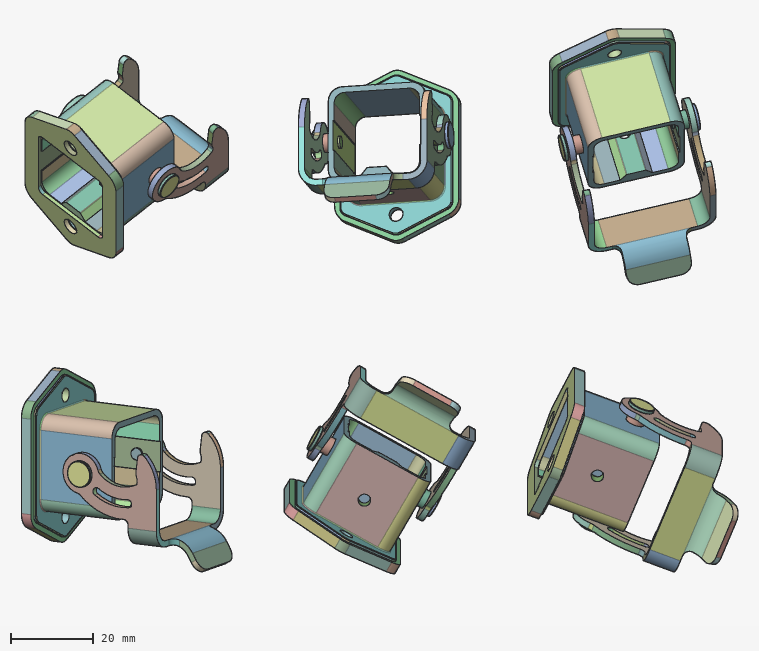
import cadquery as cq
import math


flange_half_width = 15.44
flange_half_height = 21.4
flange_thickness = 2.67
flange_side_radius = 4.3
flange_apex_radius = 3.3
flange_slope = math.radians(25)

pad_half_width = 14.0
pad_half_height = 20.07
pad_back = 3.3
pad_side_radius = 2.2
pad_apex_radius = 2.7
pad_bevel_depth = 0.3
pad_bevel_inset = 0.15

hole_height = 15.03
hole_radius = 1.7
counterbore_radius = 2.1
counterbore_depth = 1.3

tube_width = 24.14
tube_back = 23.47
tube_corner_radius = 3.5
tube_foot_radius = 0.25
bore_width = 21.2
bore_corner_radius = 2.6
mouth_width = 21.8
mouth_corner_radius = 1.5
mouth_depth = 1.0
groove_height = 7.5

key_base_width = 8.1
key_top_width = 4.8
key_height = 1.95
key_edge_radius = 0.2
key_hole_radius = 1.5
key_hole_y = 12.1

pivot_y = 17.05
pin_radius = 2.3
pin_end_radius = 1.5
pin_inner_x = 10.4
head_radius = 3.25
head_outer_x = 17.0
head_chamfer = 0.15

lever_half_width = 16.0
lever_thickness = 1.55
lever_back = 38.27
lever_front = 30.27
lever_bottom = -16.65
bend_radius = 4.6
eye_radius = 5.0
eye_blend_radius = 2.0
eye_overlap = 0.5

arm_center_y = 28.57
arm_center_z = 6.75
arm_upper_radius = 8.8
arm_lower_radius = 16.8
slot_path_radius = 12.87
slot_width = 2.0
slot_back_y = 30.27
slot_front_y = 21.47
arm_corner_radius = 1.2

hook_back_radius = 11.0
hook_back_z = -1.76
tip_radius = 1.1
tip_top_z = 6.53
catch_y = 32.5
catch_z = 1.65
throat_y = 32.85
throat_radius = 0.8
catch_drop = 1.4

tab_half_width = 8.1
tab_outer_radius = 6.43
tab_angle = math.radians(59)
tab_straight = 4.88
tab_corner_radius = 3.0
tab_root_radius = 1.9


def block(width, corner_radius, y_start, y_end):
    """Square bar along Y with rounded long edges."""
    return (
        cq.Workplane("XZ", origin=(0, y_start, 0))
        .rect(width, width)
        .extrude(y_start - y_end)
        .edges("|Y")
        .fillet(corner_radius)
    )


def rod(radius, x_start, x_end):
    """Round bar on the pivot axis."""
    return (
        cq.Workplane("YZ", origin=(x_start, pivot_y, 0))
        .circle(radius)
        .extrude(x_end - x_start)
    )


def hexagon(half_width, half_height, side_radius, apex_radius, y_start, y_end):
    """Upright six-sided plate; half_height is measured to the rounded apex."""
    apex_z = half_height + apex_radius * (1 / math.cos(flange_slope) - 1)
    side_z = apex_z - half_width * math.tan(flange_slope)
    outline = [
        (0, apex_z),
        (half_width, side_z),
        (half_width, -side_z),
        (0, -apex_z),
        (-half_width, -side_z),
        (-half_width, side_z),
    ]
    plate = cq.Workplane("XZ", origin=(0, y_start, 0)).polyline(outline).close().extrude(y_start - y_end)
    plate = plate.edges("|Y and (>Z or <Z)").fillet(apex_radius)
    return plate.edges(cq.selectors.BoxSelector(
        (-half_width - 1, y_start - 1, -side_z - 0.1), (half_width + 1, y_end + 1, side_z + 0.1)
    )).edges("|Y").fillet(side_radius)


def make_housing():
    flange = hexagon(
        flange_half_width, flange_half_height, flange_side_radius, flange_apex_radius, 0, flange_thickness
    )
    pad = hexagon(
        pad_half_width, pad_half_height, pad_side_radius, pad_apex_radius, flange_thickness, pad_back
    )
    pad = pad.faces(">Y").edges().chamfer(pad_bevel_inset, pad_bevel_depth)
    tube = block(tube_width, tube_corner_radius, 0, tube_back)
    housing = flange.union(pad).union(tube)

    foot_reach = tube_width / 2 + tube_foot_radius
    around_foot = cq.selectors.BoxSelector(
        (-foot_reach, pad_back - tube_foot_radius / 2, -foot_reach),
        (foot_reach, pad_back + tube_foot_radius / 2, foot_reach),
        boundingbox=True,
    )
    housing = housing.edges(around_foot).fillet(tube_foot_radius)

    housing = housing.cut(block(bore_width, bore_corner_radius, 0, tube_back))
    housing = housing.cut(block(mouth_width, mouth_corner_radius, 0, mouth_depth))
    groove = cq.Workplane("XY").box(mouth_width, tube_back, groove_height, centered=(True, False, True))
    housing = housing.cut(groove)

    mounting_points = [(0, hole_height), (0, -hole_height)]
    holes = cq.Workplane("XZ").pushPoints(mounting_points).circle(hole_radius).extrude(-pad_back)
    counterbores = cq.Workplane("XZ").pushPoints(mounting_points).circle(counterbore_radius)
    return housing.cut(holes).cut(counterbores.extrude(-counterbore_depth))


def make_key():
    floor_z = -bore_width / 2
    outline = [
        (-key_base_width / 2, floor_z),
        (key_base_width / 2, floor_z),
        (key_top_width / 2, floor_z + key_height),
        (-key_top_width / 2, floor_z + key_height),
    ]
    key = cq.Workplane("XZ", origin=(0, mouth_depth, 0)).polyline(outline).close().extrude(mouth_depth - tube_back)
    return key.edges("|Y and >Z").fillet(key_edge_radius)


def make_key_hole():
    """Vertical hole through the key and the tube floor below it."""
    return (
        cq.Workplane("XY", origin=(0, key_hole_y, -tube_width / 2))
        .circle(key_hole_radius)
        .extrude(tube_width / 2)
    )


def on_arm(radius, y):
    """Point below the arm centre on one of the arm's concentric arcs."""
    return y, arm_center_z - math.sqrt(radius**2 - (y - arm_center_y) ** 2)


def eye_junction(arm_radius):
    """Lower crossing of an arm arc with the round eye."""
    span_y = arm_center_y - pivot_y
    span = math.hypot(span_y, arm_center_z)
    along = (eye_radius**2 - arm_radius**2 + span**2) / (2 * span)
    across = math.sqrt(eye_radius**2 - along**2)
    return (
        pivot_y + (along * span_y + across * arm_center_z) / span,
        (along * arm_center_z - across * span_y) / span,
    )


def make_arm_plate():
    """Flat side arm with hook, eye and slot, lying from X = 0 to its thickness."""
    bend_z = lever_bottom + bend_radius
    hook_center_y = lever_back - hook_back_radius
    tip_z = tip_top_z - tip_radius
    tip_angle = math.asin((tip_z - hook_back_z) / (hook_back_radius - tip_radius))
    tip_y = hook_center_y + (hook_back_radius - tip_radius) * math.cos(tip_angle)

    def on_hook_back(angle):
        return (
            hook_center_y + hook_back_radius * math.cos(angle),
            hook_back_z + hook_back_radius * math.sin(angle),
        )

    upper_end_y = eye_junction(arm_upper_radius)[0] - eye_overlap
    lower_end_y = eye_junction(arm_lower_radius)[0] - eye_overlap
    arm = (
        cq.Workplane("YZ")
        .moveTo(lever_back, bend_z)
        .lineTo(lever_back, hook_back_z)
        .threePointArc(on_hook_back(tip_angle / 2), on_hook_back(tip_angle))
        .threePointArc((tip_y, tip_top_z), (tip_y - tip_radius, tip_z))
        .lineTo(catch_y, catch_z)
        .lineTo(throat_y, catch_z - catch_drop)
        .lineTo(*on_arm(arm_upper_radius, throat_y))
        .threePointArc(on_arm(arm_upper_radius, arm_center_y), on_arm(arm_upper_radius, upper_end_y))
        .lineTo(pivot_y, 0)
        .lineTo(*on_arm(arm_lower_radius, lower_end_y))
        .threePointArc(on_arm(arm_lower_radius, (lower_end_y + lever_front) / 2), on_arm(arm_lower_radius, lever_front))
        .lineTo(lever_front, bend_z)
        .close()
        .extrude(lever_thickness)
    )
    arm = arm.edges(cq.selectors.NearestToPointSelector(
        (lever_thickness / 2, *on_arm(arm_lower_radius, lever_front)))).fillet(arm_corner_radius)
    arm = arm.edges(cq.selectors.NearestToPointSelector(
        (lever_thickness / 2, *on_arm(arm_upper_radius, throat_y)))).fillet(throat_radius)
    eye = cq.Workplane("YZ", origin=(0, pivot_y, 0)).circle(eye_radius).extrude(lever_thickness)
    arm = arm.union(eye)
    for arm_radius in (arm_upper_radius, arm_lower_radius):
        junction = (lever_thickness / 2, *eye_junction(arm_radius))
        arm = arm.edges(cq.selectors.NearestToPointSelector(junction)).fillet(eye_blend_radius)
    return arm.cut(make_arm_slot())


def make_arm_slot():
    inner_radius = slot_path_radius - slot_width / 2
    outer_radius = slot_path_radius + slot_width / 2
    start = math.asin((slot_back_y - arm_center_y) / slot_path_radius)
    end = math.asin((slot_front_y - arm_center_y) / slot_path_radius)
    middle = (start + end) / 2
    end_cap_angle = slot_width / 2 / slot_path_radius

    def polar(radius, angle):
        return arm_center_y + radius * math.sin(angle), arm_center_z - radius * math.cos(angle)

    return (
        cq.Workplane("YZ")
        .moveTo(*polar(inner_radius, start))
        .threePointArc(polar(inner_radius, middle), polar(inner_radius, end))
        .threePointArc(polar(slot_path_radius, end - end_cap_angle), polar(outer_radius, end))
        .threePointArc(polar(outer_radius, middle), polar(outer_radius, start))
        .threePointArc(polar(slot_path_radius, start + end_cap_angle), polar(inner_radius, start))
        .close()
        .extrude(lever_thickness)
    )


def make_crossbar():
    """Bottom bar of the lever with its two bends up to the arms."""
    depth = lever_back - lever_front

    def bent_bar(half_width, bottom_z, radius):
        return (
            cq.Workplane("XY")
            .box(2 * half_width, depth, 2 * bend_radius, centered=(True, False, False))
            .edges("|Y and <Z")
            .fillet(radius)
            .translate((0, lever_front, bottom_z))
        )

    bar = bent_bar(lever_half_width, lever_bottom, bend_radius)
    bar = bar.cut(bent_bar(
        lever_half_width - lever_thickness, lever_bottom + lever_thickness, bend_radius - lever_thickness
    ))
    above_bend = cq.Workplane("XY", origin=(0, 0, lever_bottom + bend_radius)).box(
        4 * lever_half_width, 4 * lever_back, 4 * bend_radius, centered=(True, True, False)
    )
    return bar.cut(above_bend)


def make_tab():
    """Curved finger tab, flared at the root and rounded at its free end."""
    center_z = lever_bottom + lever_thickness - tab_outer_radius
    inner_radius = tab_outer_radius - lever_thickness
    run_y = tab_straight * math.cos(tab_angle)
    run_z = -tab_straight * math.sin(tab_angle)

    def on_bend(radius, angle):
        return lever_back + radius * math.sin(angle), center_z + radius * math.cos(angle)

    outer_end = on_bend(tab_outer_radius, tab_angle)
    inner_end = on_bend(inner_radius, tab_angle)
    root_half_width = tab_half_width + tab_root_radius
    strip = (
        cq.Workplane("YZ", origin=(-root_half_width, 0, 0))
        .moveTo(*on_bend(tab_outer_radius, 0))
        .threePointArc(on_bend(tab_outer_radius, tab_angle / 2), outer_end)
        .line(run_y, run_z)
        .lineTo(inner_end[0] + run_y, inner_end[1] + run_z)
        .lineTo(*inner_end)
        .threePointArc(on_bend(inner_radius, tab_angle / 2), on_bend(inner_radius, 0))
        .close()
        .extrude(2 * root_half_width)
    )
    end_y = outer_end[0] + run_y
    diagonal = tab_root_radius * (1 - math.sqrt(0.5))
    plan = (
        cq.Workplane("XY", origin=(0, 0, 2 * lever_bottom))
        .moveTo(-root_half_width, lever_back)
        .threePointArc(
            (-tab_half_width - diagonal, lever_back + diagonal), (-tab_half_width, lever_back + tab_root_radius)
        )
        .lineTo(-tab_half_width, end_y)
        .lineTo(tab_half_width, end_y)
        .lineTo(tab_half_width, lever_back + tab_root_radius)
        .threePointArc((tab_half_width + diagonal, lever_back + diagonal), (root_half_width, lever_back))
        .close()
        .extrude(-2 * lever_bottom)
    )
    tab = strip.intersect(plan)
    for side in (-1, 1):
        corner = (side * tab_half_width, end_y, outer_end[1] + run_z)
        middle = (corner[0], (outer_end[0] + inner_end[0]) / 2 + run_y, (outer_end[1] + inner_end[1]) / 2 + run_z)
        tab = tab.edges(cq.selectors.NearestToPointSelector(middle)).fillet(tab_corner_radius)
    return tab


def make_side():
    """Arm and pivot pin on the +X side."""
    arm = make_arm_plate().translate((lever_half_width - lever_thickness, 0, 0))
    shank = rod(pin_radius, tube_width / 2 - 0.5, lever_half_width)
    pin_end = rod(pin_end_radius, pin_inner_x, tube_width / 2)
    head = rod(head_radius, lever_half_width, head_outer_x).faces("<X or >X").chamfer(head_chamfer)
    return arm.union(shank).union(pin_end).union(head)


side = make_side()
result = (
    make_housing()
    .union(make_key())
    .cut(make_key_hole())
    .union(side)
    .union(side.mirror("YZ"))
    .union(make_crossbar())
    .union(make_tab())
)